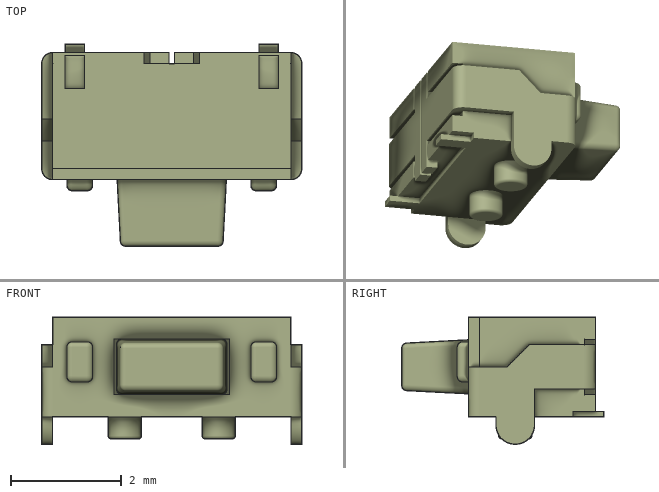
import cadquery as cq


overall_width = 4.7
housing_width = 4.3
body_depth = 2.3
body_height = 1.8
sheet = (overall_width - housing_width) / 2
edge_round = 0.1

button_width = 1.998
button_height = 1.0
button_reach = 1.205
button_draft = 3.0
button_z = 0.902

opening_width = 2.085
opening_height = 1.005

bump_width = 0.465
bump_height = 0.725
bump_spacing = 3.325
bump_z = 0.99

wing_front_z = 0.902
wing_rear_z = 1.3
wing_rear_bottom_z = 0.5
slope_front_y = 0.7
slope_rear_y = 1.1
leg_front_y = 0.5
leg_width = 0.7
leg_drop = 0.5
leg_radius = leg_width / 2
leg_y = leg_front_y + leg_radius

hook_clearance = 0.1
tab_gap = 0.1
tabs_width = 0.795
tab_slot_width = 0.995

peg_diameter = 0.6
peg_length = 0.4
peg_spacing = 1.695
peg_round = 0.05

terminal_width = 0.352
terminal_thickness = 0.1
terminal_spacing = 3.495
terminal_reach = 0.15
step_depth = 0.405

pocket_length = 0.59
pocket_depth = 0.1
pocket_back_margin = 0.055


def block(x_range, y_range, z_range):
    """Box between the given limits along each axis."""
    (x0, x1), (y0, y1), (z0, z1) = x_range, y_range, z_range
    return cq.Workplane("XY").box(x1 - x0, y1 - y0, z1 - z0, centered=False).translate((x0, y0, z0))


def span(middle, size):
    """Limits of a length centred on a position."""
    return (middle - size / 2, middle + size / 2)


def front_plane(y, z):
    """Workplane facing forward (-Y)."""
    return cq.Workplane("XZ", origin=(0, y, z))


def make_button():
    """Drafted button standing on the housing front, with rounded edges."""
    return (
        front_plane(sheet, button_z)
        .rect(button_width, button_height)
        .extrude(button_reach + sheet, taper=button_draft)
        .edges("not >Y")
        .fillet(edge_round)
    )


def make_pegs():
    """Two round locating pegs under the housing."""
    return (
        cq.Workplane("XY")
        .pushPoints([(-peg_spacing / 2, leg_y), (peg_spacing / 2, leg_y)])
        .circle(peg_diameter / 2)
        .extrude(-peg_length)
        .faces("<Z")
        .edges()
        .fillet(peg_round)
    )


def make_housing():
    full_width = span(0, housing_width)
    body = block(full_width, (sheet, body_depth), (0, body_height))

    rear_layer = (body_depth - sheet, body_depth)
    groove_z = (wing_rear_bottom_z - hook_clearance, wing_rear_z + hook_clearance)
    body = body.cut(block(full_width, rear_layer, groove_z))
    body = body.cut(block(span(0, tab_slot_width), rear_layer, (0, body_height)))

    body = body.cut(block(full_width, (body_depth - step_depth, body_depth), (0, terminal_thickness)))

    pocket_back = body_depth - pocket_back_margin
    for side in (-1, 1):
        body = body.cut(
            block(
                span(side * terminal_spacing / 2, terminal_width),
                (pocket_back - pocket_length, pocket_back),
                (body_height - pocket_depth, body_height),
            )
        )
    return body.union(make_button()).union(make_pegs())


def make_wings():
    """Both side wings with their legs and rear hooks, bent from one sheet."""
    side_outline = (
        cq.Workplane("YZ", origin=(-overall_width / 2, 0, 0))
        .moveTo(0, 0)
        .lineTo(0, wing_front_z)
        .lineTo(slope_front_y, wing_front_z)
        .lineTo(slope_rear_y, wing_rear_z)
        .lineTo(body_depth, wing_rear_z)
        .lineTo(body_depth, wing_rear_bottom_z)
        .lineTo(leg_front_y + leg_width, wing_rear_bottom_z)
        .lineTo(leg_front_y + leg_width, leg_radius - leg_drop)
        .threePointArc((leg_y, -leg_drop), (leg_front_y, leg_radius - leg_drop))
        .lineTo(leg_front_y, 0)
        .close()
        .extrude(overall_width)
    )
    sheet_plan = (
        block(span(0, overall_width), (0, body_depth), (-leg_drop, body_height))
        .edges("|Z")
        .fillet(sheet)
        .cut(block(span(0, housing_width), (sheet, body_depth - sheet), (-leg_drop, body_height)))
        .cut(block(span(0, tab_gap), (body_depth - sheet, body_depth), (-leg_drop, body_height)))
    )
    return side_outline.intersect(sheet_plan)


def make_shield():
    front_plate = block(span(0, housing_width), (0, sheet), (0, body_height))
    shield = front_plate.union(make_wings())

    tab_width = (tabs_width - tab_gap) / 2
    for side in (-1, 1):
        tab_x = side * (tab_gap + tab_width) / 2
        shield = shield.union(
            block(span(tab_x, tab_width), (body_depth - sheet, body_depth), (0, body_height))
        )

    shield = shield.cut(
        block(span(0, opening_width), (0, sheet), span(button_z, opening_height))
    )

    bumps = (
        front_plane(0, bump_z)
        .pushPoints([(-bump_spacing / 2, 0), (bump_spacing / 2, 0)])
        .rect(bump_width, bump_height)
        .extrude(sheet)
        .edges("not >Y")
        .fillet(edge_round)
    )
    return shield.union(bumps)


def make_terminal(x):
    """Flat solder terminal lying in the housing step."""
    return block(
        span(x, terminal_width),
        (body_depth - step_depth, body_depth + terminal_reach),
        (0, terminal_thickness),
    )


housing = make_housing()
shield = make_shield()
terminals = [make_terminal(side * terminal_spacing / 2) for side in (-1, 1)]

result = cq.Compound.makeCompound(
    [housing.solids().val(), shield.solids().val(), *[terminal.val() for terminal in terminals]]
)